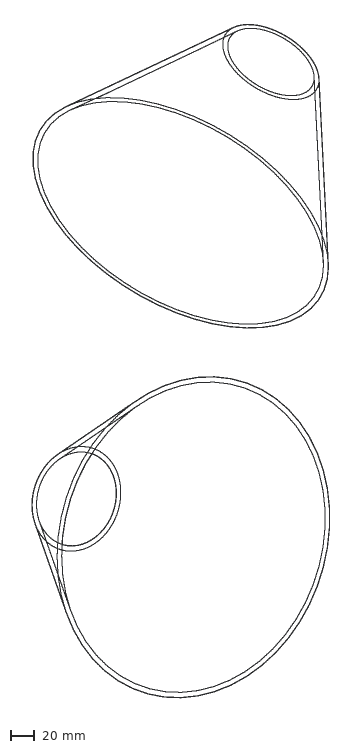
import cadquery as cq
import math

large_diameter = 273.0
small_diameter = 89.0
length = 178.0
wall_thickness = 4.0

large_radius = large_diameter / 2
small_radius = small_diameter / 2

half_angle = math.atan((large_radius - small_radius) / length)
radial_wall = wall_thickness / math.cos(half_angle)

wall_section = (
    cq.Workplane("XY")
    .moveTo(large_radius - radial_wall, 0)
    .lineTo(large_radius, 0)
    .lineTo(small_radius, length)
    .lineTo(small_radius - radial_wall, length)
    .close()
)

result = wall_section.revolve(360, (0, 0, 0), (0, 1, 0))